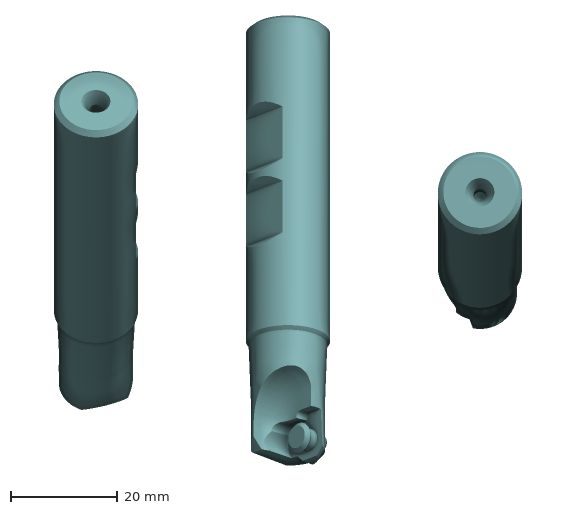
import cadquery as cq
import math


total_length = 87.2
shank_radius = 7.9
shank_end_z = 23.8
end_chamfer_width = 1.05
end_chamfer_height = 0.9
neck_top_radius = 7.4
neck_top_z = 23.1
head_radius = 7.0
head_top_z = 11.3

nose_chamfer_width = 1.3
nose_chamfer_height = 1.6
nose_face_z = 1.3
lip_end_x = -1.05
side_chamfer_x = 5.0
side_chamfer_y = 4.4

countersink_radius = 2.7
centre_bore_radius = 1.2
countersink_depth = (countersink_radius - centre_bore_radius) / math.tan(math.radians(30))
centre_bore_depth = 5.2
drill_tip_depth = centre_bore_radius / math.tan(math.radians(59))

flat_y = 6.3
flat_length = 10.5
flat_centres_z = (47.95, 63.0)

flute_wall_y = 0.8
flute_floor_x = 2.7
flute_fillet = 4.6
flute_bend_z = 5.5
flute_run_out_radius = 10.9

insert_x = -3.05
insert_z = 3.3
rake_angle = 5.2
insert_edge_radius = 2.9
insert_face_radius = 2.2
insert_face_y = 0.8
flank_y = -0.9
seat_y = -2.5
screw_radius = 1.7
screw_chamfer_y = -5.5
screw_end_y = -6.0
screw_end_radius = 1.3

pocket_radius = 3.8
pocket_centre_x = -1.4
pocket_step_x = 1.75
pocket_step_corner = 1.5
relief_top = 5.15
relief_corner = 1.05

clearance = 17.4


def tilt(body):
    """Place a body built around the local Y axis on the tilted insert axis."""
    leaned = body.rotate((0, 0, 0), (1, 0, 0), -rake_angle)
    return leaned.translate((insert_x, 0, insert_z))


def revolved_blank():
    outline = (
        cq.Workplane("XZ")
        .lineTo(head_radius - nose_chamfer_width, 0)
        .lineTo(head_radius, nose_chamfer_height)
        .lineTo(head_radius, head_top_z)
        .lineTo(neck_top_radius, neck_top_z)
        .lineTo(shank_radius, shank_end_z)
        .lineTo(shank_radius, total_length - end_chamfer_height)
        .lineTo(shank_radius - end_chamfer_width, total_length)
        .lineTo(0, total_length)
        .close()
    )
    return outline.revolve(360, (0, 0), (0, 1))


def centre_hole():
    bore_bottom_z = total_length - centre_bore_depth
    outline = [
        (0, total_length),
        (countersink_radius, total_length),
        (centre_bore_radius, total_length - countersink_depth),
        (centre_bore_radius, bore_bottom_z),
        (0, bore_bottom_z - drill_tip_depth),
    ]
    return cq.Workplane("XZ").polyline(outline).close().revolve(360, (0, 0), (0, 1))


def clamping_flat(centre_z):
    half = flat_length / 2
    rise = shank_radius - flat_y
    outline = [
        (flat_y, centre_z - half),
        (shank_radius, centre_z - half - rise),
        (shank_radius, centre_z + half + rise),
        (flat_y, centre_z + half),
    ]
    return cq.Workplane("YZ").polyline(outline).close().extrude(shank_radius, both=True)


def nose_face_cut():
    """Raise the end face everywhere except at the lip that backs the insert."""
    outline = [
        (lip_end_x, 0),
        (lip_end_x + nose_face_z, nose_face_z),
        (side_chamfer_x, nose_face_z),
        (side_chamfer_x + clearance, nose_face_z + clearance),
        (side_chamfer_x + clearance, 0),
    ]
    return cq.Workplane("XZ").polyline(outline).close().extrude(clearance, both=True)


def back_chamfer_cut():
    outline = [
        (side_chamfer_y, nose_face_z),
        (side_chamfer_y + clearance, nose_face_z + clearance),
        (side_chamfer_y + clearance, nose_face_z),
    ]
    return cq.Workplane("YZ").polyline(outline).close().extrude(clearance, both=True)


def flute_section(inner_x):
    """Outline of the flute in the plane where its upright part ends."""
    arc_x = flute_floor_x - flute_fillet
    arc_y = flute_wall_y + flute_fillet
    diagonal = flute_fillet * math.sqrt(0.5)
    return (
        cq.Workplane("XY", origin=(0, 0, flute_bend_z))
        .moveTo(inner_x, flute_wall_y)
        .lineTo(arc_x, flute_wall_y)
        .threePointArc((arc_x + diagonal, arc_y - diagonal), (flute_floor_x, arc_y))
        .lineTo(flute_floor_x, clearance)
        .lineTo(inner_x, clearance)
        .close()
    )


def flute_cut():
    axis_x = flute_floor_x - flute_run_out_radius
    upright = flute_section(axis_x).extrude(-flute_bend_z)
    run_out = flute_section(axis_x).revolve(90, (axis_x, 0.9, 0), (axis_x, 0, 0))
    return upright.union(run_out)


def open_slot(seat, end_x, bottom, top):
    """Slot from the pocket seat outwards, open to -X, in the insert's own frame."""
    return (
        seat.moveTo(-clearance, bottom)
        .lineTo(end_x, bottom)
        .lineTo(end_x, top)
        .lineTo(-clearance, top)
        .close()
    )


def pocket_cut():
    """Insert pocket: a round end towards +X, a step above it and a taller outer relief."""
    seat = cq.Workplane("XZ", origin=(0, seat_y, 0))
    depth = clearance / 2
    centre_x = pocket_centre_x - insert_x
    step_x = pocket_step_x - insert_x
    round_end = seat.center(centre_x, 0).circle(pocket_radius).extrude(-depth)
    throat = open_slot(seat, centre_x, -pocket_radius, pocket_radius).extrude(-depth)
    step = open_slot(seat, step_x, 0, pocket_radius).extrude(-depth)
    step = step.edges("|Y and >X and >Z").fillet(pocket_step_corner)
    relief = open_slot(seat, 0, 0, relief_top).extrude(seat_y - flute_wall_y)
    relief = relief.edges("|Y and >X and >Z").fillet(relief_corner)
    return tilt(round_end.union(throat).union(step).union(relief))


def screw_hole():
    hole = cq.Workplane("XZ").circle(screw_radius).extrude(clearance)
    return tilt(hole)


def make_holder():
    holder = revolved_blank().cut(centre_hole())
    for centre_z in flat_centres_z:
        holder = holder.cut(clamping_flat(centre_z))
    holder = holder.cut(nose_face_cut()).cut(back_chamfer_cut())
    return holder.cut(flute_cut()).cut(pocket_cut()).cut(screw_hole())


def make_insert():
    """Double-bevelled round insert with the screw stem that fixes it to the holder."""
    outline = [
        (0, insert_face_y),
        (insert_face_radius, insert_face_y),
        (insert_edge_radius, 0),
        (insert_face_radius, flank_y),
        (insert_face_radius, seat_y),
        (screw_radius, seat_y),
        (screw_radius, screw_chamfer_y),
        (screw_end_radius, screw_end_y),
        (0, screw_end_y),
    ]
    insert = cq.Workplane("XY").polyline(outline).close().revolve(360, (0, 0), (0, 1))
    return tilt(insert)


holder = make_holder()
insert = make_insert()

result = cq.Compound.makeCompound([holder.solids().val(), insert.val()])